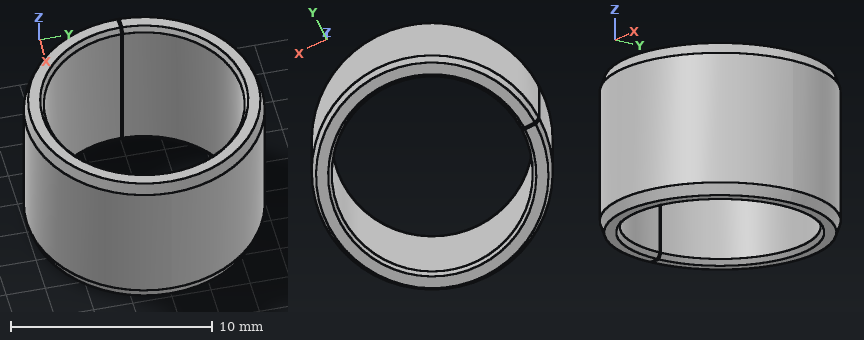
import cadquery as cq
import math

outer_diameter = 12.0
bore_diameter = 10.0
length = 8.0

outer_chamfer_length = 0.6
outer_chamfer_angle = 20.0
outer_chamfer_depth = outer_chamfer_length * math.tan(math.radians(outer_chamfer_angle))

bore_chamfer_length = 0.3
bore_chamfer_depth = 0.18

split_width = 0.1

outer_radius = outer_diameter / 2
bore_radius = bore_diameter / 2
half_length = length / 2


def bush_body():
    """Revolve the wall section, chamfered at both ends, around Z."""
    end_outer_radius = outer_radius - outer_chamfer_depth
    end_bore_radius = bore_radius + bore_chamfer_depth
    outer_land = half_length - outer_chamfer_length
    bore_land = half_length - bore_chamfer_length
    section = [
        (bore_radius, -bore_land),
        (end_bore_radius, -half_length),
        (end_outer_radius, -half_length),
        (outer_radius, -outer_land),
        (outer_radius, outer_land),
        (end_outer_radius, half_length),
        (end_bore_radius, half_length),
        (bore_radius, bore_land),
    ]
    return cq.Workplane("XZ").polyline(section).close().revolve(360, (0, 0), (0, 1))


def split_cutter():
    """Thin slab from the axis out past the -X wall, over the full length."""
    return (
        cq.Workplane("XY")
        .box(outer_diameter, split_width, 2 * length)
        .translate((-outer_radius, split_width / 2, 0))
    )


result = bush_body().cut(split_cutter())